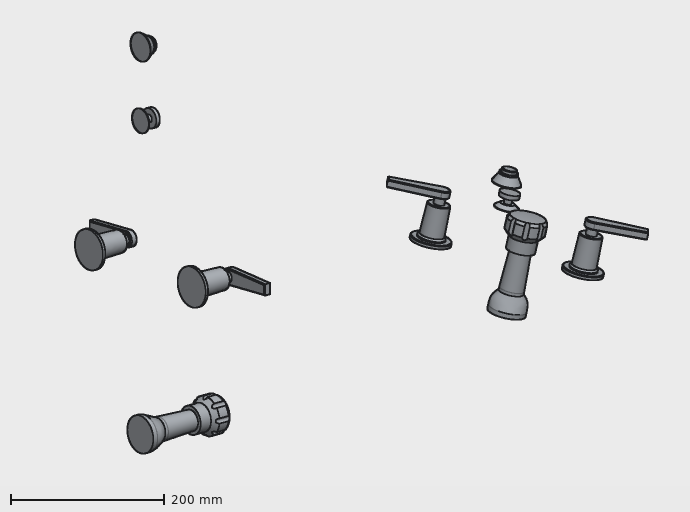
import cadquery as cq
import math


OVERALL_WIDTH = 348.0
HANDLE_Z = 229.0
BUTTON_Z = 432.0
PLUG_Z = 533.5
HANDLE_X = 101.5

FOOT_DIAMETER = 51.5
FOOT_RADIUS = FOOT_DIAMETER / 2
FOOT_TOP = 7.0
BULGE_LEVELS = [
    (18.5, 24.5, 21.5),
    (25.0, 21.0, 18.5),
]
NECK_RADIUS = 17.0
NECK_BOTTOM = 29.0
NECK_TOP = 33.5
GRIP_TOP_RADIUS = 14.5
COLLAR_RADIUS = 20.0
COLLAR_BOTTOM = 87.5
COLLAR_TOP = 105.5
HEAD_RADIUS = 27.0
HEAD_BOTTOM = 114.0
HEAD_SHOULDER = 129.5
HEAD_RIM_RADIUS = 24.5
DOME_HEIGHT = 2.0
SPRAY_LENGTH = 136.0
FLUTE_COUNT = 8
FLUTE_RADIUS = 3.5

FLANGE_RADIUS = 28.0
FLANGE_THICKNESS = 5.0
FLANGE_CHAMFER = 1.0
SKIRT_RADIUS = 19.0
SKIRT_EDGE = 7.0
SKIRT_TOP = 10.0
BARREL_BOTTOM_RADIUS = 17.0
BARREL_TOP_RADIUS = 15.5
BARREL_TOP = 53.5
BARREL_CHAMFER = 1.0
STEM_RADIUS = 7.5
LEVER_BOTTOM = 63.0
LEVER_TOP = 74.5
LEVER_REACH = OVERALL_WIDTH / 2 - HANDLE_X
LEVER_HUB_RADIUS = 11.5
LEVER_TIP_WIDTH = 15.5
LEVER_TIP_HALF_WIDTH = LEVER_TIP_WIDTH / 2
LEVER_EDGE_CHAMFER = 1.45

BUTTON_FLANGE_RADIUS = 17.0
BUTTON_RIM = 1.0
BUTTON_CONE_RADIUS = 10.0
BUTTON_CONE_TOP = 6.5
BUTTON_STEM_RADIUS = 5.0
BUTTON_HEAD_RADIUS = 14.0
BUTTON_HEAD_BOTTOM = 15.5
BUTTON_LENGTH = 22.0

PLUG_RADIUS = 20.0
PLUG_RIM = 1.0
PLUG_SHOULDER_RADIUS = 13.0
PLUG_CONE_TOP = 13.0
PLUG_SHOULDER_TOP = 15.0
SPIGOT_RADIUS = 10.5
SPIGOT_CHAMFER = 1.0
PLUG_LENGTH = 20.5


def turned(points):
    """Solid turned around the Y axis from (radius, Y) points that start and end on the axis."""
    return cq.Workplane("XY").polyline(points).close().revolve(360, (0, 0), (0, 1))


def make_socket():
    """Flare that blends from the round foot to the round neck and bulges out along X."""
    foot = (FOOT_TOP, FOOT_RADIUS, FOOT_RADIUS)
    neck = (NECK_BOTTOM, NECK_RADIUS, NECK_RADIUS)
    sections = []
    for y, half_x, half_z in [foot, *BULGE_LEVELS, neck]:
        section = cq.Workplane("XZ", origin=(0, y, 0)).ellipse(half_x, half_z)
        sections.append(section.wire().val())
    return cq.Workplane(cq.Solid.makeLoft(sections))


def make_head_flutes():
    """Round grooves along the side of the spray head, running out through its lower cone."""
    return (
        cq.Workplane("XZ", origin=(0, SPRAY_LENGTH, 0))
        .polarArray(HEAD_RADIUS, 0, 360, FLUTE_COUNT)
        .circle(FLUTE_RADIUS)
        .extrude(SPRAY_LENGTH - COLLAR_TOP)
    )


def make_spray():
    foot = turned([(0, 0), (FOOT_RADIUS, 0), (FOOT_RADIUS, FOOT_TOP), (0, FOOT_TOP)])
    grip = turned([
        (0, NECK_BOTTOM),
        (NECK_RADIUS, NECK_BOTTOM),
        (NECK_RADIUS, NECK_TOP),
        (GRIP_TOP_RADIUS, COLLAR_BOTTOM),
        (COLLAR_RADIUS, COLLAR_BOTTOM),
        (COLLAR_RADIUS, COLLAR_TOP),
        (0, COLLAR_TOP),
    ])
    dome_radius = (HEAD_RIM_RADIUS**2 + DOME_HEIGHT**2) / (2 * DOME_HEIGHT)
    half_angle = math.asin(HEAD_RIM_RADIUS / dome_radius) / 2
    dome_middle = (
        dome_radius * math.sin(half_angle),
        SPRAY_LENGTH - dome_radius * (1 - math.cos(half_angle)),
    )
    head = (
        cq.Workplane("XY")
        .moveTo(0, COLLAR_TOP)
        .lineTo(COLLAR_RADIUS, COLLAR_TOP)
        .lineTo(HEAD_RADIUS, HEAD_BOTTOM)
        .lineTo(HEAD_RADIUS, HEAD_SHOULDER)
        .lineTo(HEAD_RIM_RADIUS, SPRAY_LENGTH - DOME_HEIGHT)
        .threePointArc(dome_middle, (0, SPRAY_LENGTH))
        .close()
        .revolve(360, (0, 0), (0, 1))
        .cut(make_head_flutes())
    )
    return foot.union(make_socket()).union(grip).union(head)


def make_lever():
    """Lever that points along +X from a round hub, with both rims bevelled."""
    corner_distance = math.hypot(LEVER_REACH, LEVER_TIP_HALF_WIDTH)
    corner_angle = math.atan2(LEVER_TIP_HALF_WIDTH, LEVER_REACH)
    lean = math.asin(LEVER_HUB_RADIUS / corner_distance) - corner_angle
    side_x = LEVER_HUB_RADIUS * math.sin(lean)
    side_z = LEVER_HUB_RADIUS * math.cos(lean)
    return (
        cq.Workplane("XZ", origin=(0, LEVER_BOTTOM, 0))
        .moveTo(LEVER_REACH, -LEVER_TIP_HALF_WIDTH)
        .lineTo(LEVER_REACH, LEVER_TIP_HALF_WIDTH)
        .lineTo(side_x, side_z)
        .threePointArc((-LEVER_HUB_RADIUS, 0), (side_x, -side_z))
        .close()
        .extrude(LEVER_BOTTOM - LEVER_TOP)
        .faces("<Y or >Y")
        .chamfer(LEVER_EDGE_CHAMFER)
    )


def make_handle(side):
    """Handle at side -1 (left) or +1 (right), with its lever pointing outward."""
    base = turned([
        (0, 0),
        (FLANGE_RADIUS, 0),
        (FLANGE_RADIUS, FLANGE_THICKNESS - FLANGE_CHAMFER),
        (FLANGE_RADIUS - FLANGE_CHAMFER, FLANGE_THICKNESS),
        (SKIRT_RADIUS, FLANGE_THICKNESS),
        (SKIRT_RADIUS, SKIRT_EDGE),
        (BARREL_BOTTOM_RADIUS, SKIRT_TOP),
        (BARREL_TOP_RADIUS, BARREL_TOP - BARREL_CHAMFER),
        (BARREL_TOP_RADIUS - BARREL_CHAMFER, BARREL_TOP),
        (STEM_RADIUS, BARREL_TOP),
        (STEM_RADIUS, LEVER_BOTTOM),
        (0, LEVER_BOTTOM),
    ])
    handle = base.union(make_lever())
    if side < 0:
        handle = handle.mirror("YZ")
    return handle.translate((side * HANDLE_X, 0, HANDLE_Z))


def make_button():
    return turned([
        (0, 0),
        (BUTTON_FLANGE_RADIUS, 0),
        (BUTTON_FLANGE_RADIUS, BUTTON_RIM),
        (BUTTON_CONE_RADIUS, BUTTON_CONE_TOP),
        (BUTTON_STEM_RADIUS, BUTTON_CONE_TOP),
        (BUTTON_STEM_RADIUS, BUTTON_HEAD_BOTTOM),
        (BUTTON_HEAD_RADIUS, BUTTON_HEAD_BOTTOM),
        (BUTTON_HEAD_RADIUS, BUTTON_LENGTH),
        (0, BUTTON_LENGTH),
    ]).translate((0, 0, BUTTON_Z))


def make_plug():
    return turned([
        (0, 0),
        (PLUG_RADIUS, 0),
        (PLUG_RADIUS, PLUG_RIM),
        (PLUG_SHOULDER_RADIUS, PLUG_CONE_TOP),
        (PLUG_SHOULDER_RADIUS, PLUG_SHOULDER_TOP),
        (SPIGOT_RADIUS, PLUG_SHOULDER_TOP),
        (SPIGOT_RADIUS, PLUG_LENGTH - SPIGOT_CHAMFER),
        (SPIGOT_RADIUS - SPIGOT_CHAMFER, PLUG_LENGTH),
        (0, PLUG_LENGTH),
    ]).translate((0, 0, PLUG_Z))


spray = make_spray()
handles = [make_handle(side) for side in (-1, 1)]
button = make_button()
plug = make_plug()

result = cq.Compound.makeCompound([
    spray.val(),
    *[handle.val() for handle in handles],
    button.val(),
    plug.val(),
])